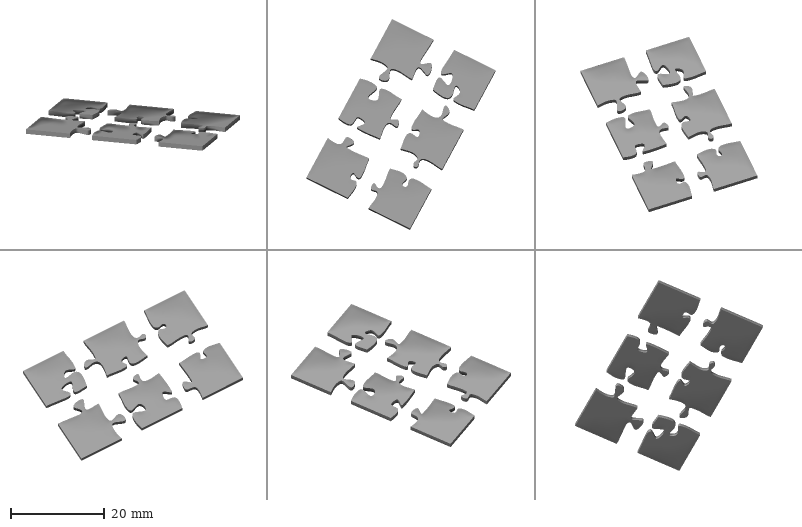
import cadquery as cq

PIECE_SIZE = 10.0
GAP = 5.0
THICKNESS = 1.0
COLUMNS = 3
ROWS = 2
PITCH = PIECE_SIZE + GAP


BOTTOM_LEFT_SEAM = [
    (2.2, -0.35), (3.65, -0.2), (3.95, -0.1), (3.5, 2.35), (3.5, 2.9),
    (4.65, 3.1), (5.5, 2.5), (5.05, 0.0), (5.7, -0.25), (8.0, -0.2),
]
BOTTOM_RIGHT_SEAM = [
    (1.7, 0.3), (3.1, -0.05), (3.35, -1.35), (3.5, -1.95), (4.45, -2.1),
    (5.5, -1.55), (4.55, 0.1), (5.05, 0.15), (7.4, 0.15),
]
TOP_LEFT_SEAM = [
    (2.4, 0.45), (4.05, -0.05), (4.3, -0.75), (3.95, -2.5), (4.0, -2.95),
    (5.3, -2.5), (5.35, -1.3), (4.95, 0.0), (5.7, 0.2), (7.5, 0.2),
]
TOP_RIGHT_SEAM = [
    (2.6, -0.4), (4.05, 0.05), (4.2, 0.2), (3.95, 1.7), (4.5, 2.25),
    (5.05, 1.9), (4.85, 0.5), (5.1, -0.1), (6.05, -0.35), (7.85, -0.3),
]

LEFT_ROW_SEAM = [
    (2.0, -0.1), (4.55, -0.3), (5.8, -0.15), (5.95, -0.05), (4.95, 2.05), (5.4, 2.4),
    (7.7, 2.3), (7.55, 1.9), (7.0, 0.7), (6.9, 0.2), (8.7, -0.15),
]
MIDDLE_ROW_SEAM = [
    (2.45, -0.15), (4.15, -0.2), (5.05, 0.1), (4.95, 0.5), (4.5, 1.5),
    (5.5, 2.1), (5.9, 2.1), (5.9, 0.8), (5.95, 0.15), (7.8, -0.3),
]
RIGHT_ROW_SEAM = [
    (2.0, 0.2), (3.75, 0.35), (4.95, 0.1), (4.9, -0.65), (4.5, -1.5),
    (4.95, -1.7), (5.95, -1.45), (5.9, -0.05), (6.45, 0.25), (8.2, 0.3),
]

STRAIGHT = []


def piece_edge(seam, start, upright):
    """One side of a piece: a line for a border, otherwise the seam's spline."""
    points = []
    for along, across in [(0, 0), *seam, (PIECE_SIZE, 0)]:
        step_x, step_y = (across, along) if upright else (along, across)
        points.append(cq.Vector(start[0] + step_x, start[1] + step_y))
    if not seam:
        return cq.Edge.makeLine(points[0], points[-1])
    return cq.Edge.makeSpline(points)


def puzzle_piece(column, row, left=STRAIGHT, right=STRAIGHT, bottom=STRAIGHT, top=STRAIGHT):
    """A flat piece in its place in the grid, bounded by its four sides."""
    x_low = column * PITCH - ((COLUMNS - 1) * PITCH + PIECE_SIZE) / 2
    y_low = row * PITCH - ((ROWS - 1) * PITCH + PIECE_SIZE) / 2
    x_high = x_low + PIECE_SIZE
    y_high = y_low + PIECE_SIZE
    outline = cq.Wire.assembleEdges([
        piece_edge(bottom, (x_low, y_low), upright=False),
        piece_edge(right, (x_high, y_low), upright=True),
        piece_edge(top, (x_low, y_high), upright=False),
        piece_edge(left, (x_low, y_low), upright=True),
    ])
    return cq.Workplane("XY").add(outline).toPending().extrude(THICKNESS)


bottom_left_piece = puzzle_piece(0, 0, right=BOTTOM_LEFT_SEAM, top=LEFT_ROW_SEAM)
bottom_middle_piece = puzzle_piece(
    1, 0, left=BOTTOM_LEFT_SEAM, right=BOTTOM_RIGHT_SEAM, top=MIDDLE_ROW_SEAM
)
bottom_right_piece = puzzle_piece(2, 0, left=BOTTOM_RIGHT_SEAM, top=RIGHT_ROW_SEAM)
top_left_piece = puzzle_piece(0, 1, right=TOP_LEFT_SEAM, bottom=LEFT_ROW_SEAM)
top_middle_piece = puzzle_piece(
    1, 1, left=TOP_LEFT_SEAM, right=TOP_RIGHT_SEAM, bottom=MIDDLE_ROW_SEAM
)
top_right_piece = puzzle_piece(2, 1, left=TOP_RIGHT_SEAM, bottom=RIGHT_ROW_SEAM)

result = cq.Compound.makeCompound([
    bottom_left_piece.val(),
    bottom_middle_piece.val(),
    bottom_right_piece.val(),
    top_left_piece.val(),
    top_middle_piece.val(),
    top_right_piece.val(),
])